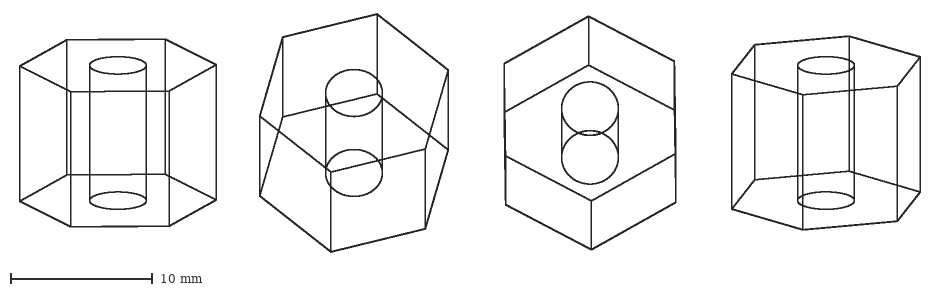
import cadquery as cq

corner_to_corner = 13.86
height = 10.0
bore_diameter = 4.0

hexagon_sides = 6

body = cq.Workplane("XY").polygon(hexagon_sides, corner_to_corner).extrude(height)

result = body.faces(">Z").workplane().hole(bore_diameter)